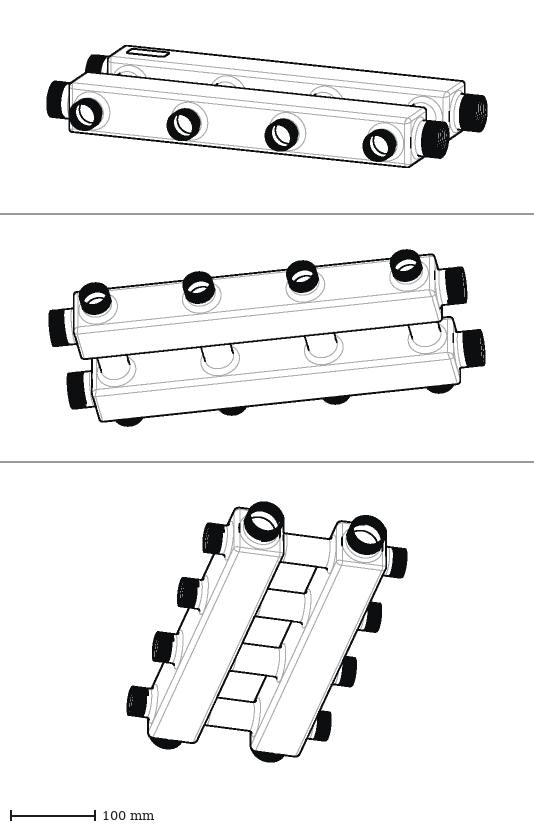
import cadquery as cq
import math

overall_length = 495.0
overall_width = 240.0

header_length = 434.5
header_size = 61.0
header_spacing = 125.0
side_edge_radius = 6.0
end_edge_radius = 4.0

branch_count = 4
branch_pitch = 124.5
branch_diameter = 34.5
branch_bore = 30.0
branch_thread_length = 17.5
branch_flare = 6.0

main_diameter = 42.5
main_bore = 37.5
main_thread_length = 19.5
main_flare = 4.0

thread_pitch = 2.35
thread_depth = 1.5
groove_width = 2.0
groove_overshoot = 0.25
thread_run_out = 2.5

plate_length = 48.5
plate_width = 20.5
plate_corner_radius = 3.5
plate_depth = 0.5
plate_center_x = -178.0
plate_offset_y = 5.5

header_y = header_spacing / 2
header_half = header_size / 2
main_length = (overall_length - header_length) / 2
branch_length = (overall_width - header_spacing - header_size) / 2
bridge_length = header_spacing - header_size
branch_xs = [(i - (branch_count - 1) / 2) * branch_pitch for i in range(branch_count)]


def make_header():
    """Square bar with all edges rounded, the end edges along Y less than the others."""
    bar = cq.Workplane("XY").box(header_length, header_size, header_size)
    bar = bar.edges("|Y").fillet(end_edge_radius)
    return bar.faces(">Y or <Y").edges().fillet(side_edge_radius)


def flared_pipe(diameter, length, flare):
    """Pipe along +Z with a concave flare where it meets the header at Z = 0."""
    radius = diameter / 2
    bulge = flare * (1 - math.sqrt(0.5))
    return (
        cq.Workplane("XZ")
        .lineTo(radius + flare, 0)
        .threePointArc((radius + bulge, bulge), (radius, flare))
        .lineTo(radius, length)
        .lineTo(0, length)
        .close()
        .revolve(360, (0, 0, 0), (0, 1, 0))
    )


def thread_groove(diameter, start, thread_length):
    """Helical V groove around +Z whose first turn begins at height start."""
    radius = diameter / 2
    root = radius - thread_depth
    crest = radius + groove_overshoot
    helix = cq.Wire.makeHelix(thread_pitch, thread_length, radius)
    groove = (
        cq.Workplane("XZ")
        .moveTo(root, 0)
        .lineTo(crest, groove_width / 2)
        .lineTo(crest, -groove_width / 2)
        .close()
        .sweep(cq.Workplane(helix), isFrenet=True)
    )
    return groove.translate((0, 0, start + groove_width / 2))


def threaded_port(diameter, bore, length, thread_length, flare):
    """Open flared pipe along +Z with an external thread, bored down to the header face."""
    blank = flared_pipe(diameter, length + 2 * thread_run_out, flare)
    groove = thread_groove(diameter, length - thread_length, thread_length + thread_run_out)
    sleeve = cq.Workplane("XY").circle(diameter).circle(bore / 2).extrude(length)
    return blank.cut(groove).intersect(sleeve)


def make_bridge():
    """Plain pipe between the headers, flared at both ends, starting at Z = 0."""
    half = flared_pipe(branch_diameter, bridge_length / 2, branch_flare)
    return half.union(half.mirror("XY").translate((0, 0, bridge_length)))


header = make_header()
main_port = threaded_port(main_diameter, main_bore, main_length, main_thread_length, main_flare)
branch_port = threaded_port(
    branch_diameter, branch_bore, branch_length, branch_thread_length, branch_flare
)
branch_port = branch_port.rotate((0, 0, 0), (1, 0, 0), 90)
bridge = make_bridge().rotate((0, 0, 0), (1, 0, 0), 90)

front_half = header.translate((0, -header_y, 0))
for side in (-1, 1):
    port = main_port.rotate((0, 0, 0), (0, 1, 0), side * 90)
    front_half = front_half.union(port.translate((side * header_length / 2, -header_y, 0)))
for x in branch_xs:
    front_half = front_half.union(branch_port.translate((x, -header_y - header_half, 0)))

manifold = front_half.union(front_half.rotate((0, 0, 0), (0, 0, 1), 180))
for x in branch_xs:
    manifold = manifold.union(bridge.translate((x, bridge_length / 2, 0)))

plate_center = (plate_center_x, header_y + plate_offset_y, header_half)
plate_outline = cq.Sketch().rect(plate_length, plate_width).vertices().fillet(plate_corner_radius)
nameplate = cq.Workplane("XY", origin=plate_center).placeSketch(plate_outline).extrude(-plate_depth)
result = manifold.cut(nameplate)